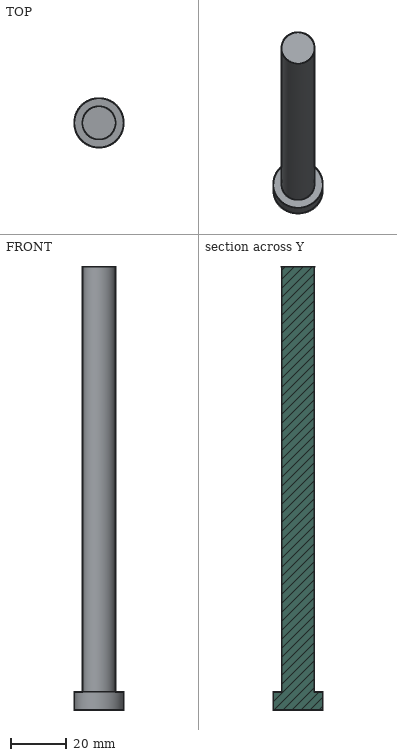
import cadquery as cq

total_length = 160.0
head_diameter = 18.0
head_height = 6.5
shank_diameter = 12.0

head = cq.Workplane("XY").circle(head_diameter / 2).extrude(head_height)
shank = cq.Workplane("XY").circle(shank_diameter / 2).extrude(total_length)

result = head.union(shank)